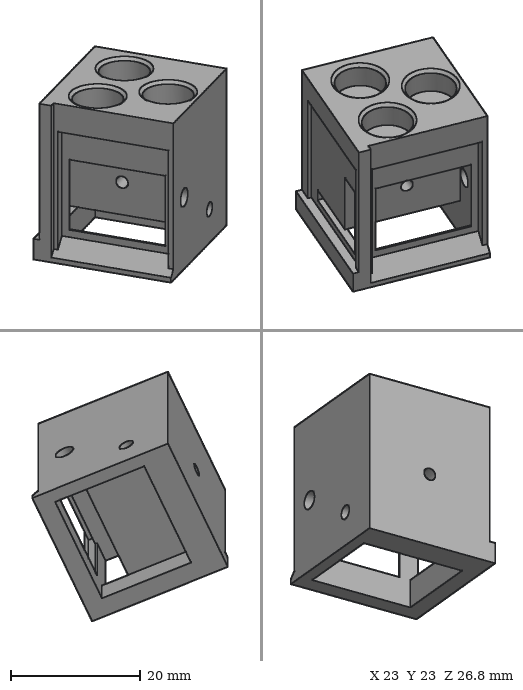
import cadquery as cq

width = 23.0
length = 23.0
height = 26.75

ledge_width = 1.0
ledge_height = 3.53
post_end = 3.0
front_face = 1.02
lip_height = 0.85

front_recess_left = 3.7
front_recess_right = 22.15
front_recess_top = 22.0
front_recess_floor = ledge_height - lip_height

side_recess_front = 1.36
side_recess_back = 20.57
side_recess_top = 22.47
side_recess_depth = 0.6
side_recess_floor = ledge_width + side_recess_depth

cavity_left = 3.0
front_window_left = 4.9
cavity_right = 20.95
cavity_front = 3.0
cavity_back = 18.08
block_front = 7.04
block_bottom = 6.71
cavity_top = 16.75
window_bottom = 4.75

front_hole_diameter = 2.0
front_hole_x = 11.98
hole_z = 12.25
upper_side_hole_diameter = 3.0
upper_side_hole_y = 5.45
lower_side_hole_diameter = 2.3
lower_side_hole_y = 15.95
lower_side_hole_z = (window_bottom + block_bottom) / 2

seat_diameter = 8.0
seat_chamfer = 0.5
seat_depth = 4.0
pair_x = 8.32
single_x = 17.87
seat_row_y = 11.55
pair_spacing = 11.02


def box(x0, x1, y0, y1, z0, z1):
    """Box given by its limits along each axis."""
    return cq.Workplane("XY").box(x1 - x0, y1 - y0, z1 - z0, centered=False).translate((x0, y0, z0))


def l_prism(x0, x1, bottom):
    """L-shaped prism along X: tall at the front, low under the block."""
    tall = box(x0, x1, cavity_front, block_front, bottom, cavity_top)
    low = box(x0, x1, cavity_front, cavity_back, bottom, block_bottom)
    return tall.union(low)


def x_hole(diameter, y, z):
    """Hole through the right wall."""
    return (
        cq.Workplane("YZ", origin=(cavity_right, y, z))
        .circle(diameter / 2)
        .extrude(width - cavity_right)
    )


def seat(x, y):
    """Blind round seat with a chamfered mouth."""
    bore = (
        cq.Workplane("XY", origin=(x, y, height - seat_depth))
        .circle(seat_diameter / 2)
        .extrude(seat_depth)
    )
    mouth = cq.Solid.makeCone(
        seat_diameter / 2,
        seat_diameter / 2 + seat_chamfer,
        seat_chamfer,
        pnt=cq.Vector(x, y, height - seat_chamfer),
    )
    return bore.union(cq.Workplane(obj=mouth))


result = box(ledge_width, width, 0, length, 0, height)
result = result.union(box(0, width, 0, length, 0, ledge_height))

wall_setback = (
    cq.Workplane("YZ", origin=(post_end, 0, 0))
    .moveTo(0, lip_height)
    .lineTo(front_face, lip_height + front_face)
    .lineTo(front_face, height)
    .lineTo(0, height)
    .close()
    .extrude(width - post_end)
)
front_recess = (
    cq.Workplane("YZ", origin=(front_recess_left, 0, 0))
    .moveTo(0, lip_height)
    .lineTo(front_recess_floor, ledge_height)
    .lineTo(front_recess_floor, front_recess_top)
    .lineTo(0, front_recess_top)
    .close()
    .extrude(front_recess_right - front_recess_left)
)
result = result.cut(wall_setback).cut(front_recess)

result = result.cut(
    box(0, side_recess_floor, side_recess_front, side_recess_back, ledge_height, side_recess_top)
)

result = result.cut(l_prism(cavity_left, cavity_right, 0))
result = result.cut(l_prism(0, cavity_left, window_bottom))
result = result.cut(box(front_window_left, cavity_right, 0, cavity_front, window_bottom, cavity_top))

front_hole = (
    cq.Workplane("XZ", origin=(front_hole_x, length, hole_z))
    .circle(front_hole_diameter / 2)
    .extrude(length - block_front)
)
result = result.cut(front_hole)
result = result.cut(x_hole(upper_side_hole_diameter, upper_side_hole_y, hole_z))
result = result.cut(x_hole(lower_side_hole_diameter, lower_side_hole_y, lower_side_hole_z))

seat_centers = [
    (pair_x, seat_row_y - pair_spacing / 2),
    (pair_x, seat_row_y + pair_spacing / 2),
    (single_x, seat_row_y),
]
for seat_x, seat_y in seat_centers:
    result = result.cut(seat(seat_x, seat_y))